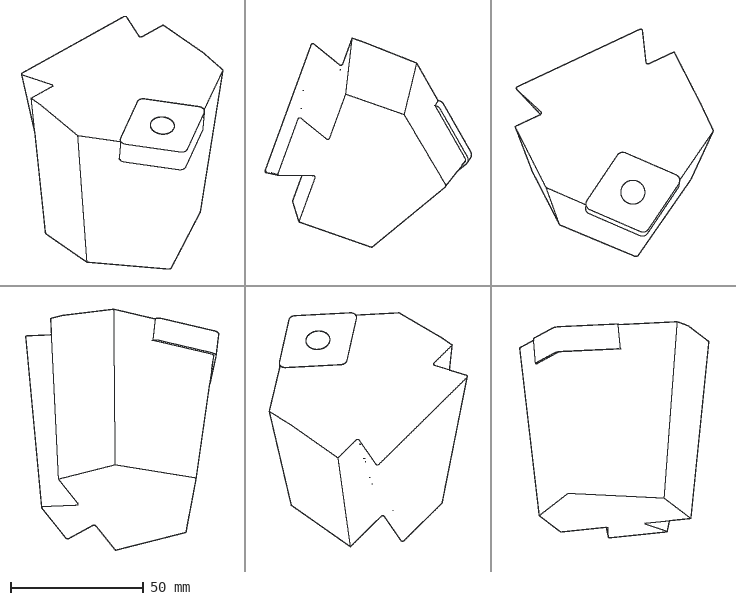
import cadquery as cq
import math


def tan_deg(angle):
    return math.tan(math.radians(angle))


HEIGHT = 69.0
TOP_WIDTH = 67.0
SIDE_ANGLE = 6.0
SHOULDER_X = 13.7

DOVETAIL_TIP_HALF_WIDTH = 26.8
DOVETAIL_FLANK_ANGLE = 20.0
DOVETAIL_WEDGE_ANGLE = 12.0
DOVETAIL_RADIUS = 0.7

NOSE_FLANK_HEADING = 30.3
NOSE_FLANK_OFFSET = 50.35
END_FLANK_HEADING = -49.7
END_FLANK_OFFSET = 44.1
NOSE_FLANK_RELIEF = 6.6
END_FLANK_RELIEF = 6.0
NOSE_RADIUS = 1.2

RAKE_HEADING = -14.9
RAKE_ANGLE = 8.0
RAKE_START_X = 27.7
RAKE_CUT_SIZE = 213.35

INSERT_CENTER = (55.6, -4.4)
INSERT_CENTER_Z = 65.2
INSERT_INSCRIBED_DIAMETER = 25.4
INSERT_ANGLE = 80.0
INSERT_CORNER_RADIUS = 2.4
INSERT_THICKNESS = 9.5
INSERT_HOLE_DIAMETER = 9.1
INSERT_HEADING = -9.5
INSERT_TILT = 7.9
INSERT_TILT_HEADING = -14.9


def line_crossing(heading_a, offset_a, heading_b, offset_b):
    """Plan point where two lines cross, each given by its normal's heading and its offset."""
    a = math.radians(heading_a)
    b = math.radians(heading_b)
    determinant = math.sin(b - a)
    x = (offset_a * math.sin(b) - offset_b * math.sin(a)) / determinant
    y = (offset_b * math.cos(a) - offset_a * math.cos(b)) / determinant
    return (x, y)


def holder_outline(z):
    """Sharp-cornered plan outline of the holder at height z."""
    drop = HEIGHT - z
    half_width = TOP_WIDTH / 2 - drop * tan_deg(SIDE_ANGLE)
    tip = DOVETAIL_TIP_HALF_WIDTH - drop * tan_deg(DOVETAIL_WEDGE_ANGLE)
    root = tip - SHOULDER_X * tan_deg(DOVETAIL_FLANK_ANGLE)
    nose_flank = (NOSE_FLANK_HEADING, NOSE_FLANK_OFFSET + z * tan_deg(NOSE_FLANK_RELIEF))
    end_flank = (END_FLANK_HEADING, END_FLANK_OFFSET + z * tan_deg(END_FLANK_RELIEF))
    return [
        (0, tip),
        (0, -tip),
        (SHOULDER_X, -root),
        (SHOULDER_X, -half_width),
        line_crossing(-90, half_width, *end_flank),
        line_crossing(*end_flank, *nose_flank),
        line_crossing(*nose_flank, 90, half_width),
        (SHOULDER_X, half_width),
        (SHOULDER_X, root),
    ]


def tilted_plane(origin, tilt, heading):
    """Plane through origin that falls by the tilt angle toward the plan heading."""
    h = math.radians(heading)
    t = math.radians(tilt)
    normal = (math.sin(t) * math.cos(h), math.sin(t) * math.sin(h), math.cos(t))
    level = (-math.sin(h), math.cos(h), 0)
    return cq.Plane(origin=origin, xDir=level, normal=normal)


def make_blank():
    """Tapered block with the dovetail and the rounded nose, before the rake face is cut."""
    bottom = holder_outline(0)
    top = holder_outline(HEIGHT)
    blank = (
        cq.Workplane("XY").polyline(bottom).close()
        .workplane(offset=HEIGHT).polyline(top).close()
        .loft(ruled=True)
    )

    def upright_edges(indices):
        """Edges from the bottom outline to the top one, found by their midpoints."""
        edges = []
        for i in indices:
            middle = cq.Vector(*bottom[i], 0).add(cq.Vector(*top[i], HEIGHT)).multiply(0.5)
            edges.append(min(blank.edges().vals(), key=lambda edge: (edge.Center() - middle).Length))
        return edges

    dovetail_edges = upright_edges([0, 1, 2, 8])
    nose_edges = upright_edges([5])
    solid = blank.val().fillet(DOVETAIL_RADIUS, dovetail_edges)
    return cq.Workplane(solid.fillet(NOSE_RADIUS, nose_edges))


def make_insert():
    """Rounded rhombic plate with a through hole, its top face on a tilted plane."""
    plane = tilted_plane((*INSERT_CENTER, INSERT_CENTER_Z), INSERT_TILT, INSERT_TILT_HEADING)
    radius = INSERT_INSCRIBED_DIAMETER / 2
    half_angle = math.radians(INSERT_ANGLE / 2)
    long_half = radius / math.sin(half_angle)
    short_half = radius / math.cos(half_angle)
    turn = INSERT_HEADING - INSERT_TILT_HEADING
    return (
        cq.Workplane(plane.rotated((0, 0, turn)))
        .polyline([(long_half, 0), (0, short_half), (-long_half, 0), (0, -short_half)]).close()
        .extrude(-INSERT_THICKNESS)
        .edges(cq.selectors.ParallelDirSelector(plane.zDir))
        .fillet(INSERT_CORNER_RADIUS)
        .faces(cq.selectors.DirectionMinMaxSelector(plane.zDir, True))
        .workplane(centerOption="CenterOfMass").hole(INSERT_HOLE_DIAMETER)
    )


def make_holder(insert):
    """Blank with the rake face cut; the insert's pocket leaves a post inside the insert's hole."""
    rake = tilted_plane((RAKE_START_X, 0, HEIGHT), RAKE_ANGLE, RAKE_HEADING)
    above_rake = cq.Workplane(rake).rect(RAKE_CUT_SIZE, RAKE_CUT_SIZE).extrude(RAKE_CUT_SIZE)
    return make_blank().cut(above_rake).cut(insert)


insert = make_insert()
holder = make_holder(insert)

result = cq.Compound.makeCompound([holder.val(), insert.val()])